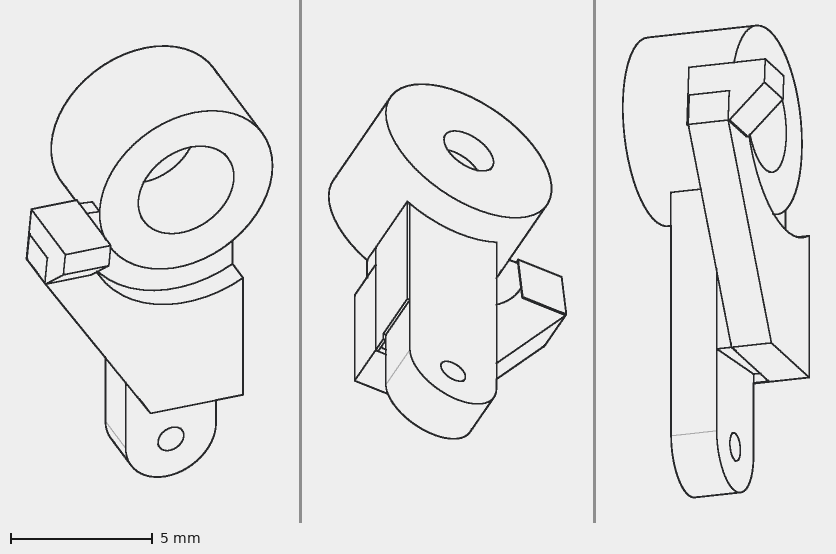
import cadquery as cq
import math

hub_diameter = 6.7
hub_radius = hub_diameter / 2
hub_length = 4.13
bore_diameter = 2.0
pocket_diameter = 3.7
pocket_floor_x = 0.91
overall_height = 16.85
hub_z = overall_height - hub_radius

lever_x = 1.21
lever_thickness = 1.74
lever_width = 3.5
lever_y = -0.05
lever_back_x = lever_x + lever_thickness
lever_left_y = lever_y - lever_width / 2
lever_right_y = lever_y + lever_width / 2
lever_end_radius = lever_width / 2
pivot_diameter = 1.0
pivot_z = 1.62

arm_front_y = -1.79
arm_back_y = 1.8
arm_bottom_z = 4.75
arm_back_bottom_z = 4.43
wing_x = 3.5
wing_thickness = 1.52
wing_seat_radius = 4.26
wing_top_z = 12.94

tooth_x = 3.45
tooth_length = 2.9
tooth_depth = 1.77
tooth_height = 2.15
tooth_lean = 5
tooth_top_y = -5.7
tooth_top_z = 13.99
tooth_chamfer = 1.28

web_top_z = 13.6
web_drop_at_tooth = 0.13

lean = math.radians(tooth_lean)


def tooth_point(back, down):
    """Y and Z of a point measured from the tooth's top front edge along its leaning sides."""
    return (
        tooth_top_y + back * math.cos(lean) - down * math.sin(lean),
        tooth_top_z - back * math.sin(lean) - down * math.cos(lean),
    )


def plate(points, x, thickness):
    """Prism along X with the given outline of (Y, Z) points."""
    return cq.Workplane("YZ", origin=(x, 0, 0)).polyline(points).close().extrude(thickness)


def rod(radius, y, z, x, length):
    """Cylinder along X."""
    return cq.Workplane("YZ", origin=(x, y, z)).circle(radius).extrude(length)


def hub_space():
    """Solid cylinder that the hub occupies."""
    return rod(hub_radius, 0, hub_z, 0, hub_length)


def make_hub():
    """Hub with a through bore that widens into a deep pocket on the +X side."""
    outside = hub_space()
    bore = rod(bore_diameter / 2, 0, hub_z, 0, hub_length)
    pocket = rod(pocket_diameter / 2, 0, hub_z, pocket_floor_x, hub_length - pocket_floor_x)
    return outside.cut(bore).cut(pocket)


def make_lever():
    """Flat lever hanging from the hub, with a pivot hole in its rounded end."""
    shank = plate(
        [
            (lever_left_y, lever_end_radius),
            (lever_right_y, lever_end_radius),
            (lever_right_y, hub_z),
            (lever_left_y, hub_z),
        ],
        lever_x,
        lever_thickness,
    )
    rounded_end = rod(lever_end_radius, lever_y, lever_end_radius, lever_x, lever_thickness)
    pivot = rod(pivot_diameter / 2, lever_y, pivot_z, lever_x, lever_thickness)
    return shank.union(rounded_end).cut(pivot).cut(hub_space())


def make_arm():
    """Block behind the lever, with a thin lip along the lever's +Y side."""
    backing = plate(
        [
            (arm_front_y, arm_bottom_z),
            (lever_right_y, arm_bottom_z),
            (lever_right_y, arm_back_bottom_z),
            (arm_back_y, arm_back_bottom_z),
            (arm_back_y, hub_z),
            (arm_front_y, hub_z),
        ],
        lever_back_x,
        wing_x - lever_back_x,
    )
    lip = plate(
        [
            (lever_right_y, arm_bottom_z),
            (arm_back_y, arm_bottom_z),
            (arm_back_y, hub_z),
            (lever_right_y, hub_z),
        ],
        lever_x,
        lever_thickness,
    )
    return backing.union(lip).cut(hub_space())


def make_wing():
    """Triangular plate with a round seat around the hub axis."""
    seat_y = -math.sqrt(wing_seat_radius**2 - (hub_z - wing_top_z) ** 2)
    seat_end_z = hub_z - math.sqrt(wing_seat_radius**2 - arm_back_y**2)
    seat_middle = wing_seat_radius * math.sqrt(0.5)
    front_down = (tooth_top_z - wing_top_z) / math.cos(lean)
    return (
        cq.Workplane("YZ", origin=(wing_x, 0, 0))
        .moveTo(arm_front_y, arm_bottom_z)
        .lineTo(*tooth_point(0, tooth_height))
        .lineTo(*tooth_point(0, front_down))
        .lineTo(seat_y, wing_top_z)
        .threePointArc((-seat_middle, hub_z - seat_middle), (arm_back_y, seat_end_z))
        .lineTo(arm_back_y, arm_back_bottom_z)
        .close()
        .extrude(wing_thickness)
    )


def make_tooth(wing):
    """Leaning block with its overhanging lower edge chamfered and a notch for the wing."""
    outline = [
        tooth_point(0, 0),
        tooth_point(tooth_depth, 0),
        tooth_point(tooth_depth, tooth_height),
        tooth_point(0, tooth_height),
    ]
    block = plate(outline, tooth_x, tooth_length)
    block = block.faces(">X").edges("<Z").chamfer(tooth_chamfer)
    return block.cut(wing)


def make_web(wing, tooth):
    """Thin plate between hub and wing, flush with the hub's +X end."""
    thickness = hub_length - wing_x
    outline = [
        (-hub_radius, web_top_z),
        tooth_point(tooth_depth, web_drop_at_tooth),
        tooth_point(tooth_depth, tooth_height),
        (arm_front_y, arm_bottom_z),
        (arm_back_y, arm_bottom_z),
        (arm_back_y, hub_z),
        (0, hub_z),
    ]
    return plate(outline, wing_x, thickness).cut(hub_space()).cut(wing).cut(tooth)


hub = make_hub()
lever = make_lever()
arm = make_arm()
wing = make_wing()
tooth = make_tooth(wing)
web = make_web(wing, tooth)

result = cq.Compound.makeCompound(
    [hub.val(), lever.val(), arm.val(), wing.val(), tooth.val(), web.val()]
)